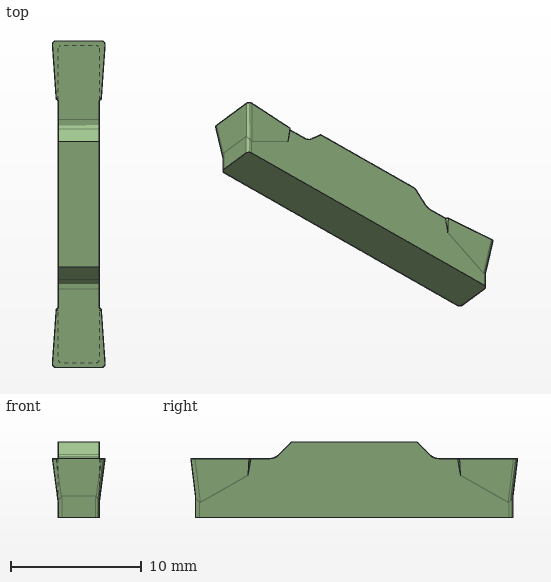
import cadquery as cq
import math


overall_length = 25.03
overall_height = 5.79
body_width = 3.16
deck_height = 4.52
crown_length = 9.6
ramp_angle = 45.0
ramp_fillet = 1.0
corner_radius = 0.3

tip_width = 4.05
relief_angle = 7.0
side_back_angle = 4.0
tip_length = 4.45
shoulder_run = 1.0
front_relief_height = 2.87

half_length = overall_length / 2
body_half_length = half_length - front_relief_height * math.tan(math.radians(relief_angle))
ramp_run = (overall_height - deck_height) / math.tan(math.radians(ramp_angle))
ramp_foot = crown_length / 2 + ramp_run

back_slope = math.tan(math.radians(side_back_angle))
arc_tangent_length = corner_radius * math.tan(math.radians(90 - side_back_angle) / 2)
arc_end_setback = arc_tangent_length * math.cos(math.radians(side_back_angle))
sharp_half_width = tip_width / 2 + arc_end_setback * back_slope
tip_back_half_width = sharp_half_width - tip_length * back_slope


def make_body():
    """Constant-width bar with a raised crown and rounded upright end corners."""
    profile = [
        (-body_half_length, 0),
        (body_half_length, 0),
        (body_half_length, deck_height),
        (ramp_foot, deck_height),
        (crown_length / 2, overall_height),
        (-crown_length / 2, overall_height),
        (-ramp_foot, deck_height),
        (-body_half_length, deck_height),
    ]
    bar = cq.Workplane("YZ").polyline(profile).close().extrude(body_width / 2, both=True)
    bar = bar.edges("|Z").fillet(corner_radius)
    deck_zone = cq.selectors.BoxSelector(
        (-body_width, -ramp_foot - ramp_run / 2, deck_height - ramp_run / 2),
        (body_width, ramp_foot + ramp_run / 2, deck_height + ramp_run / 2),
    )
    return bar.edges("|X").edges(deck_zone).fillet(ramp_fillet)


def make_front_tip():
    """Tip at the -Y end, tapering inward on every side from its flat top."""
    shoulder_y = -half_length + tip_length
    outline = [
        (-sharp_half_width, -half_length),
        (sharp_half_width, -half_length),
        (tip_back_half_width, shoulder_y),
        (tip_back_half_width - shoulder_run, shoulder_y + shoulder_run),
        (shoulder_run - tip_back_half_width, shoulder_y + shoulder_run),
        (-tip_back_half_width, shoulder_y),
    ]
    tip = (
        cq.Workplane("XY", origin=(0, 0, deck_height))
        .polyline(outline)
        .close()
        .extrude(-deck_height, taper=relief_angle)
    )
    front_corners = tip.faces("<Y").edges("not |X")
    return front_corners.fillet(corner_radius)


front_tip = make_front_tip()
rear_tip = front_tip.rotate((0, 0, 0), (0, 0, 1), 180)
result = make_body().union(front_tip).union(rear_tip)